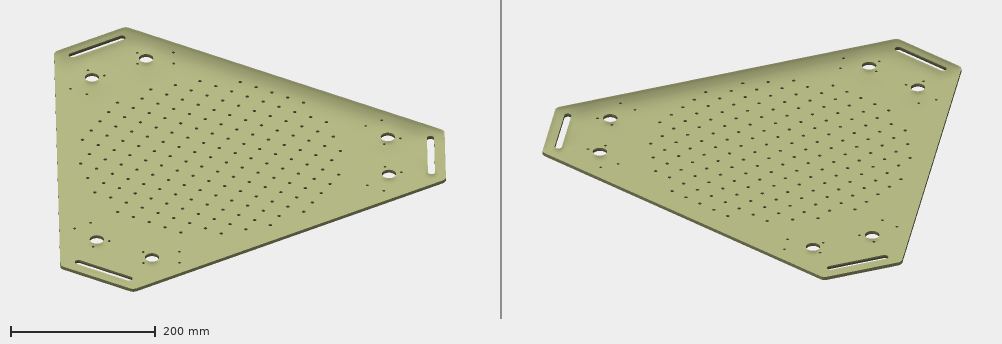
import cadquery as cq
import math

thickness = 5.0
long_edge_distance = 212.0
short_edge_distance = 324.5
corner_radius = 9.0
corner_angles = (0, 120, 240)

slot_length = 90.0
slot_width = 10.0
slot_edge_gap = 20.0

shaft_hole_diameter = 20.0
mount_hole_diameter = 4.0
mount_length = 50.0
mount_width = 26.0
mount_angle = 30
mount_center_x = 55.0
mount_center_y = -239.5
shaft_offset = 13.0

grid_hole_diameter = 5.0
grid_span = 350.0
grid_steps = 7
grid_pitch = grid_span / (2 * grid_steps)
grid_radius = 185.0


def rotate(points, angle):
    """Turn points about the plate centre by an angle in degrees."""
    cosine = math.cos(math.radians(angle))
    sine = math.sin(math.radians(angle))
    return [(x * cosine - y * sine, x * sine + y * cosine) for x, y in points]


def make_plate():
    half_short_edge = (long_edge_distance - short_edge_distance / 2) / math.cos(math.radians(30))
    short_edge = [(-half_short_edge, -short_edge_distance), (half_short_edge, -short_edge_distance)]
    outline = []
    for angle in corner_angles:
        outline += rotate(short_edge, angle)
    plate = cq.Workplane("XY").polyline(outline).close().extrude(thickness)
    return plate.edges("|Z").fillet(corner_radius)


def make_holes(centers, diameter):
    return cq.Workplane("XY").pushPoints(centers).circle(diameter / 2).extrude(thickness)


def make_slot(angle):
    slot = cq.Workplane("XY").center(0, slot_edge_gap - short_edge_distance)
    slot = slot.slot2D(slot_length, slot_width).extrude(thickness)
    return slot.rotate((0, 0, 0), (0, 0, 1), angle)


def mount_centers():
    """Shaft hole and mounting hole centres of the motor pair in the corner at -Y."""
    screws = [(x * mount_length / 2, y * mount_width / 2) for x in (-1, 1) for y in (-1, 1)]
    shaft_and_screws = rotate([(-shaft_offset, 0)] + screws, mount_angle)
    placed = [(mount_center_x + x, mount_center_y + y) for x, y in shaft_and_screws]
    mirrored = [(-x, y) for x, y in placed]
    return [placed[0], mirrored[0]], placed[1:] + mirrored[1:]


def grid_centers():
    steps = range(-grid_steps, grid_steps + 1)
    points = [(column * grid_pitch, row * grid_pitch) for column in steps for row in steps]
    return [(x, y) for x, y in points if math.hypot(x, y) < grid_radius]


result = make_plate()
shaft_centers, screw_centers = mount_centers()
for angle in corner_angles:
    result = result.cut(make_slot(angle))
    result = result.cut(make_holes(rotate(shaft_centers, angle), shaft_hole_diameter))
    result = result.cut(make_holes(rotate(screw_centers, angle), mount_hole_diameter))
result = result.cut(make_holes(grid_centers(), grid_hole_diameter))